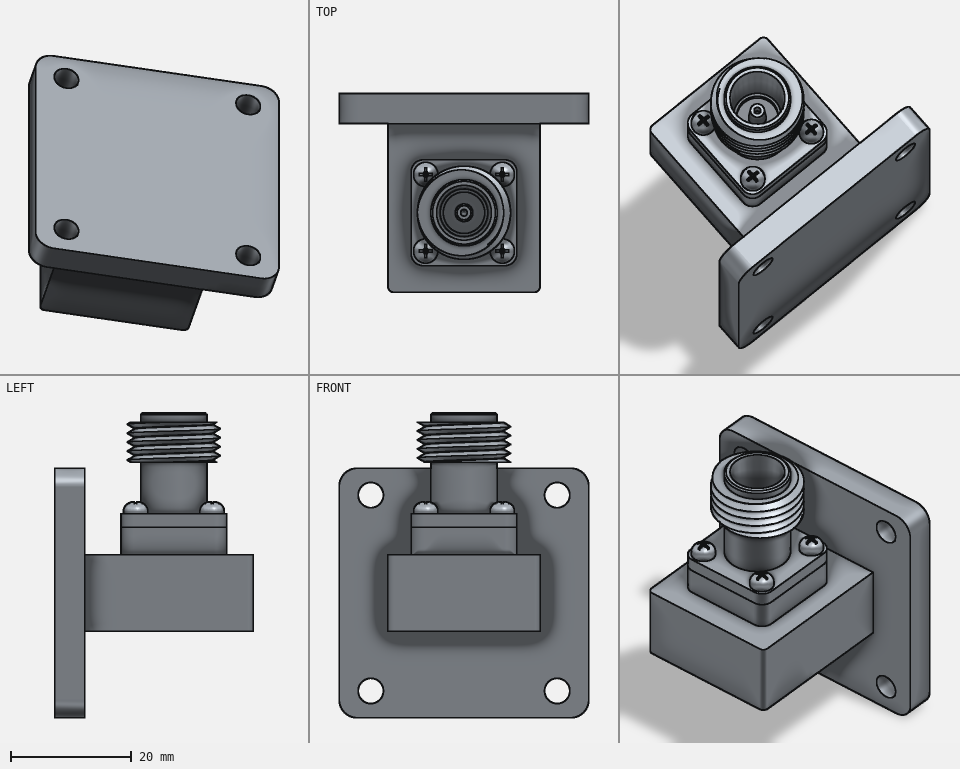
import cadquery as cq


flange_side = 41.4
flange_thickness = 5.0
flange_corner_radius = 3.05
flange_hole_diameter = 4.15
flange_hole_spacing_x = 30.9
flange_hole_spacing_z = 32.45
block_width = 25.25
block_depth = 27.95
block_height = 12.7
block_corner_radius = 0.95
block_top = block_height / 2
connector_y = -14.75
pad_side = 17.55
pad_height = 4.55
pad_corner_radius = 2.0

total_height = 50.6
plate_height = 2.3
plate_bottom = block_top + pad_height
plate_top = plate_bottom + plate_height
barrel_top = total_height - flange_side / 2
barrel_radius = 5.5
barrel_chamfer = 0.3

thread_crest_radius = 7.75
thread_root_radius = 6.6
thread_length = 6.7
thread_turns = 4.5
thread_pitch = thread_length / thread_turns
thread_setback = 1.5
thread_top = barrel_top - thread_setback
thread_bottom = thread_top - thread_length
ridge_embedding = 0.05
ridge_base_radius = thread_root_radius - ridge_embedding
ridge_gap = 0.05
ridge_base_width = thread_pitch - ridge_gap

bore_mouth_radius = 4.55
bore_floor_radius = 3.95
bore_depth = 10.1
well_radius = 3.45
well_depth = 1.0

contact_base_radius = 1.45
contact_tip_radius = 1.15
contact_height = 4.05
contact_hole_radius = 0.55
contact_hole_depth = 2.0

screw_spacing = 12.7
screw_radius = 2.0
screw_skirt_height = 0.45
screw_height = 2.0
cross_length = 2.25
cross_width = 0.35
cross_depth = 0.45
cross_centre_diagonal = 1.3
cross_tip_diagonal = 0.35
cross_centre_depth = 1.0


def rounded_pad(height, bottom):
    """Square plate with rounded corners on the connector axis."""
    return (
        cq.Workplane("XY", origin=(0, connector_y, bottom))
        .rect(pad_side, pad_side)
        .extrude(height)
        .edges("|Z")
        .fillet(pad_corner_radius)
    )


def cone_down(top_radius, bottom_radius, top, depth):
    """Cone on the connector axis, built from its top face towards -Z."""
    top_centre = cq.Vector(0, connector_y, top)
    return cq.Workplane(cq.Solid.makeCone(top_radius, bottom_radius, depth, top_centre, cq.Vector(0, 0, -1)))


def cylinder_up(radius, bottom, height):
    """Cylinder on the connector axis."""
    return cq.Workplane("XY", origin=(0, connector_y, bottom)).circle(radius).extrude(height)


def make_waveguide():
    flange = (
        cq.Workplane("XZ")
        .rect(flange_side, flange_side)
        .extrude(-flange_thickness)
        .edges("|Y")
        .fillet(flange_corner_radius)
        .faces("<Y")
        .workplane(origin=(0, 0, 0))
        .rect(flange_hole_spacing_x, flange_hole_spacing_z, forConstruction=True)
        .vertices()
        .hole(flange_hole_diameter)
    )
    block = (
        cq.Workplane("XY", origin=(0, -block_depth / 2, -block_top))
        .rect(block_width, block_depth)
        .extrude(block_height)
        .edges("|Z and <Y")
        .fillet(block_corner_radius)
    )
    return flange.union(block).union(rounded_pad(pad_height, block_top))


def make_thread():
    """Right-hand V thread on a root cylinder, cut flat at both ends."""
    ridge_start = thread_bottom - thread_pitch
    helix_height = thread_length + 2 * thread_pitch
    path = cq.Wire.makeHelix(
        thread_pitch, helix_height, thread_root_radius, cq.Vector(0, connector_y, ridge_start)
    )
    ridge = (
        cq.Workplane("XZ", origin=(0, connector_y, ridge_start))
        .moveTo(ridge_base_radius, -ridge_base_width / 2)
        .lineTo(thread_crest_radius, 0)
        .lineTo(ridge_base_radius, ridge_base_width / 2)
        .close()
        .sweep(cq.Workplane(path), isFrenet=True)
    )
    core = cylinder_up(thread_root_radius, ridge_start - thread_pitch, helix_height + 2 * thread_pitch)
    trim = cylinder_up(2 * thread_crest_radius, thread_bottom, thread_length)
    return core.union(ridge).intersect(trim)


def make_screw_head(x, y):
    """Domed head with a cross recess."""
    dome_height = screw_height - screw_skirt_height
    head = (
        cq.Workplane("XZ")
        .lineTo(screw_radius, 0)
        .lineTo(screw_radius, screw_skirt_height)
        .ellipseArc(screw_radius, dome_height, 0, 90)
        .close()
        .revolve(360, (0, 0, 0), (0, 1, 0))
    )
    top = cq.Workplane("XY", origin=(0, 0, screw_height))
    head = head.cut(top.rect(cross_length, cross_width).extrude(-cross_depth))
    head = head.cut(top.rect(cross_width, cross_length).extrude(-cross_depth))
    centre = top.polygon(4, cross_centre_diagonal).workplane(offset=-cross_centre_depth)
    centre = centre.polygon(4, cross_tip_diagonal).loft()
    head = head.cut(centre)
    return head.translate((x, y, plate_top))


def make_contact(bottom):
    """Tapered centre contact with a drilled tip; the drill point is a 45-degree cone."""
    tip = bottom + contact_height
    hole_floor = tip - contact_hole_depth
    contact = cone_down(contact_tip_radius, contact_base_radius, tip, contact_height)
    contact = contact.cut(cylinder_up(contact_hole_radius, hole_floor, contact_hole_depth))
    return contact.cut(cone_down(contact_hole_radius, 0, hole_floor, contact_hole_radius))


def make_connector():
    plate = rounded_pad(plate_height, plate_bottom)
    barrel_height = barrel_top - plate_top
    barrel = cylinder_up(barrel_radius, plate_top, barrel_height).faces(">Z").chamfer(barrel_chamfer)
    connector = plate.union(barrel).union(make_thread())

    bore_floor = barrel_top - bore_depth
    connector = connector.cut(cone_down(bore_mouth_radius, bore_floor_radius, barrel_top, bore_depth))
    connector = connector.cut(cylinder_up(well_radius, bore_floor, -well_depth))
    connector = connector.union(make_contact(bore_floor - well_depth))

    for x_side in (-1, 1):
        for y_side in (-1, 1):
            screw_x = x_side * screw_spacing / 2
            screw_y = connector_y + y_side * screw_spacing / 2
            connector = connector.union(make_screw_head(screw_x, screw_y))
    return connector


waveguide = make_waveguide()
connector = make_connector()

result = cq.Compound.makeCompound([*waveguide.solids().vals(), *connector.solids().vals()])